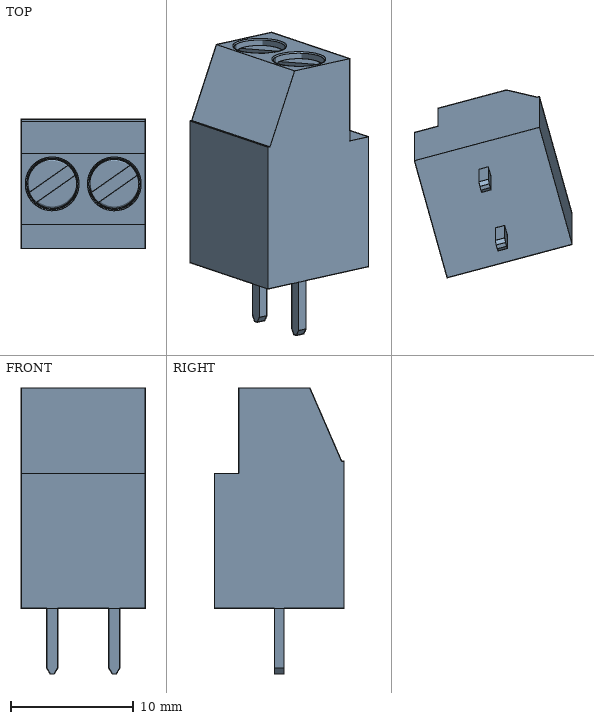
import cadquery as cq


pole_count = 2
pitch = 5.08
pole_positions = [(i - (pole_count - 1) / 2) * pitch for i in range(pole_count)]

overall_height = 23.4
pin_length = 5.35
housing_height = overall_height - pin_length
housing_width = pole_count * pitch
housing_depth = 10.6
front_step_depth = 2.0
front_step_height = 11.05
back_ledge_depth = 0.2
back_ledge_height = 12.05
back_slope_depth = 2.6

hole_diameter = 4.2
hole_chamfer = 0.105
hole_depth = 2.0

screw_diameter = 4.0
screw_rounding = 0.2
screw_recess = 0.5
screw_height = hole_depth - screw_recess
slot_width = 1.0
slot_depth = 0.5
slot_angle = 35

pin_width = 0.91
pin_thickness = 0.8
pin_tip_width = 0.33
pin_tip_height = 0.5


def make_housing():
    """Stepped block with a sloped back and one blind, chamfered screw hole per pole."""
    front = -housing_depth / 2
    back = housing_depth / 2
    slope_bottom = back - back_ledge_depth
    side_outline = [
        (front, 0),
        (front, front_step_height),
        (front + front_step_depth, front_step_height),
        (front + front_step_depth, housing_height),
        (slope_bottom - back_slope_depth, housing_height),
        (slope_bottom, back_ledge_height),
        (back, back_ledge_height),
        (back, 0),
    ]
    block = cq.Workplane("YZ").polyline(side_outline).close().extrude(housing_width / 2, both=True)
    for x in pole_positions:
        block = block.cut(make_screw_hole(x))
    return block


def make_screw_hole(x):
    """Volume removed for one screw: a cylinder that widens to a chamfer at the top face."""
    radius = hole_diameter / 2
    hole_outline = [
        (0, -hole_depth),
        (radius, -hole_depth),
        (radius, -hole_chamfer),
        (radius + hole_chamfer, 0),
        (0, 0),
    ]
    hole = cq.Workplane("XZ").polyline(hole_outline).close().revolve(360, (0, 0), (0, 1))
    return hole.translate((x, 0, housing_height))


def make_screw(x):
    """Slotted screw head with a rounded rim, standing on the floor of its hole, below the housing top."""
    head = cq.Workplane("XY").circle(screw_diameter / 2).extrude(screw_height)
    head = head.faces(">Z").edges().fillet(screw_rounding)
    slot = (
        cq.Workplane("XY")
        .box(2 * screw_diameter, slot_width, slot_depth, centered=(True, True, False))
        .rotate((0, 0, 0), (0, 0, 1), slot_angle)
        .translate((0, 0, screw_height - slot_depth))
    )
    return head.cut(slot).translate((x, 0, housing_height - hole_depth))


def make_pin(x):
    """Flat solder pin below the housing, tapered in width at its tip."""
    tip_top = pin_tip_height - pin_length
    pin_outline = [
        (-pin_width / 2, 0),
        (-pin_width / 2, tip_top),
        (-pin_tip_width / 2, -pin_length),
        (pin_tip_width / 2, -pin_length),
        (pin_width / 2, tip_top),
        (pin_width / 2, 0),
    ]
    pin = cq.Workplane("XZ").polyline(pin_outline).close().extrude(pin_thickness / 2, both=True)
    return pin.translate((x, 0, 0))


housing = make_housing()
screws = [make_screw(x) for x in pole_positions]
pins = [make_pin(x) for x in pole_positions]

result = cq.Compound.makeCompound(
    [
        housing.val(),
        *[screw.val() for screw in screws],
        *[pin.val() for pin in pins],
    ]
)